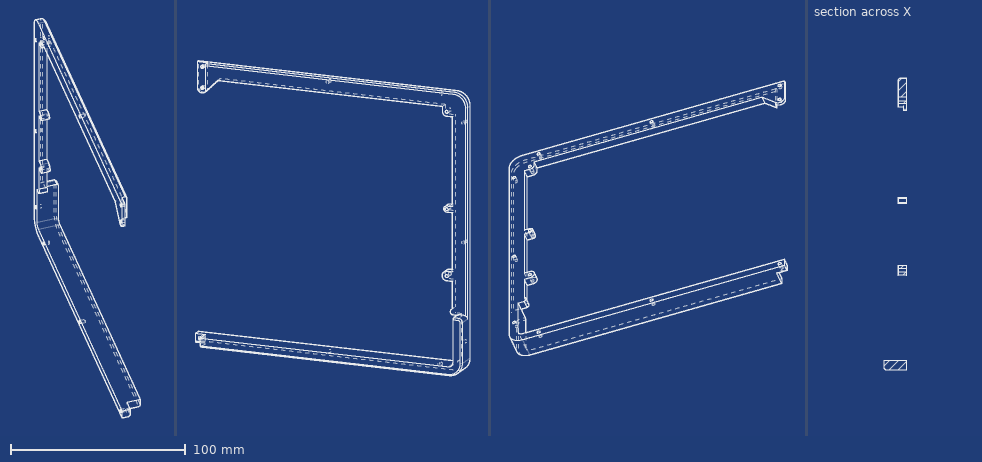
import cadquery as cq
import math

WIDTH = 167.8
HEIGHT = 167.0
DEPTH = 13.0
PLATE_DEPTH = 4.9
CORNER_RADIUS = 8.2
EDGE_CHAMFER = 1.0

LEFT_BAR = 9.2
TOP_BAR = 9.0
RAIL = 5.5
INNER_RADIUS = 2.9

WALL_TOP = 34.9
WALL_TOP_RADIUS = 2.3
END_STEP = 6.2
TIP_DEPTH = 1.8

HOLE_DIAMETER = 1.8
BLIND_DEPTH = 3.4
EDGE_OFFSET = 2.9
SIDE_OFFSET = 3.0
CORNER_HOLE = 18.0
TOP_MIDDLE_X = 86.7
LEFT_MIDDLE_Z = 77.7

LOBE_RADIUS = SIDE_OFFSET
LOBE_X = WIDTH - SIDE_OFFSET
LOBE_Z = HEIGHT - 15.5

TAB_X = 12.5
SMALL_TAB_Z = 97.0
SMALL_TAB_RADIUS = 1.8
LARGE_TAB_Z = 57.0
LARGE_TAB_RADIUS = 2.9
CORNER_TAB_Z = HEIGHT - 11.9
CORNER_TAB_RADIUS = 2.7
BUMP_X = 8.5
BUMP_Z = 36.0
BUMP_RADIUS = 1.8


def box(x0, x1, z0, z1, depth):
    """Block rising from the front face to the given depth."""
    return cq.Workplane("XY").box(x1 - x0, depth, z1 - z0, centered=False).translate((x0, 0, z0))


def cylinder(x, z, radius, depth):
    """Round post along Y, starting at the front face."""
    return cq.Workplane("XZ").center(x, z).circle(radius).extrude(-depth)


def rounded_blank(depth):
    """Full rectangle with round left corners and a chamfered rear outer edge."""
    blank = box(0, WIDTH, 0, HEIGHT, depth).edges("|Y and <X").fillet(CORNER_RADIUS)
    rear_edges = blank.faces(">Y").edges("not(>X)")
    return rear_edges.chamfer(EDGE_CHAMFER)


def plate():
    """C-shaped frame with a thinner lower left corner."""
    upper_opening = box(LEFT_BAR, WIDTH, BUMP_Z - BUMP_RADIUS, HEIGHT - TOP_BAR, PLATE_DEPTH)
    return rounded_blank(PLATE_DEPTH).cut(upper_opening).cut(lower_opening(PLATE_DEPTH))


def lower_opening(depth):
    """Opening above the bottom rail, with a small round inner corner."""
    opening = box(RAIL, WIDTH, RAIL, BUMP_Z - BUMP_RADIUS, depth)
    return opening.edges("|Y and <X and <Z").fillet(INNER_RADIUS)


def deep_wall():
    """L-shaped wall of full depth along the bottom and the lower left side."""
    envelope = box(0, WIDTH - END_STEP, 0, WALL_TOP, DEPTH)
    envelope = envelope.edges("|Y and <X and <Z").fillet(CORNER_RADIUS)
    envelope = envelope.edges("|Y and <X and >Z").fillet(WALL_TOP_RADIUS)
    envelope = envelope.faces(">Y").edges("not(>X)").chamfer(EDGE_CHAMFER)
    opening = box(RAIL, WIDTH, RAIL, HEIGHT, DEPTH)
    return envelope.cut(opening.edges("|Y and <X and <Z").fillet(INNER_RADIUS))


def tab(z, radius):
    """Round-ended tab joined to the left bar."""
    return box(SIDE_OFFSET, TAB_X, z - radius, z + radius, PLATE_DEPTH).union(
        cylinder(TAB_X, z, radius, PLATE_DEPTH)
    )


def corner_tab():
    """Tab in the upper left corner, joined to both bars."""
    outer_x = TAB_X + CORNER_TAB_RADIUS
    link = box(TAB_X, outer_x, CORNER_TAB_Z, HEIGHT - EDGE_OFFSET, PLATE_DEPTH)
    side = box(SIDE_OFFSET, TAB_X, CORNER_TAB_Z - CORNER_TAB_RADIUS, HEIGHT - TOP_BAR, PLATE_DEPTH)
    return side.union(link).union(cylinder(TAB_X, CORNER_TAB_Z, CORNER_TAB_RADIUS, PLATE_DEPTH))


def tip_web():
    """Web below the upper tip, its sloped edge tangent to the lobe."""
    diagonal = LOBE_RADIUS * math.sqrt(0.5)
    tangent_x = LOBE_X - diagonal
    tangent_z = LOBE_Z - diagonal
    top_z = HEIGHT - TOP_BAR
    return (
        cq.Workplane("XZ")
        .moveTo(tangent_x - (top_z - tangent_z), top_z)
        .lineTo(tangent_x, tangent_z)
        .threePointArc((LOBE_X, LOBE_Z - LOBE_RADIUS), (WIDTH, LOBE_Z))
        .lineTo(WIDTH, top_z)
        .close()
        .extrude(-PLATE_DEPTH)
    )


def tip_relief():
    """Space removed behind the upper tip to leave it thin."""
    bottom = LOBE_Z - LOBE_RADIUS
    relief = box(WIDTH - END_STEP, WIDTH, bottom, HEIGHT, PLATE_DEPTH - TIP_DEPTH)
    return relief.translate((0, TIP_DEPTH, 0))


body = plate().union(deep_wall()).union(tip_web()).union(corner_tab())
body = body.union(tab(SMALL_TAB_Z, SMALL_TAB_RADIUS))
body = body.union(tab(LARGE_TAB_Z, LARGE_TAB_RADIUS))
body = body.union(cylinder(BUMP_X, BUMP_Z, BUMP_RADIUS, PLATE_DEPTH))
body = body.cut(tip_relief())

blind_holes = [
    (x, z)
    for x in (CORNER_HOLE, TOP_MIDDLE_X)
    for z in (EDGE_OFFSET, HEIGHT - EDGE_OFFSET)
]
blind_holes += [(SIDE_OFFSET, z) for z in (CORNER_HOLE, LEFT_MIDDLE_Z, HEIGHT - CORNER_HOLE)]
for x, z in blind_holes:
    body = body.cut(cylinder(x, z, HOLE_DIAMETER / 2, BLIND_DEPTH))

through_holes = [(TAB_X, z) for z in (SMALL_TAB_Z, LARGE_TAB_Z, CORNER_TAB_Z)]
through_holes += [(LOBE_X, z) for z in (EDGE_OFFSET, LOBE_Z, HEIGHT - EDGE_OFFSET)]
for x, z in through_holes:
    body = body.cut(cylinder(x, z, HOLE_DIAMETER / 2, DEPTH))

result = body